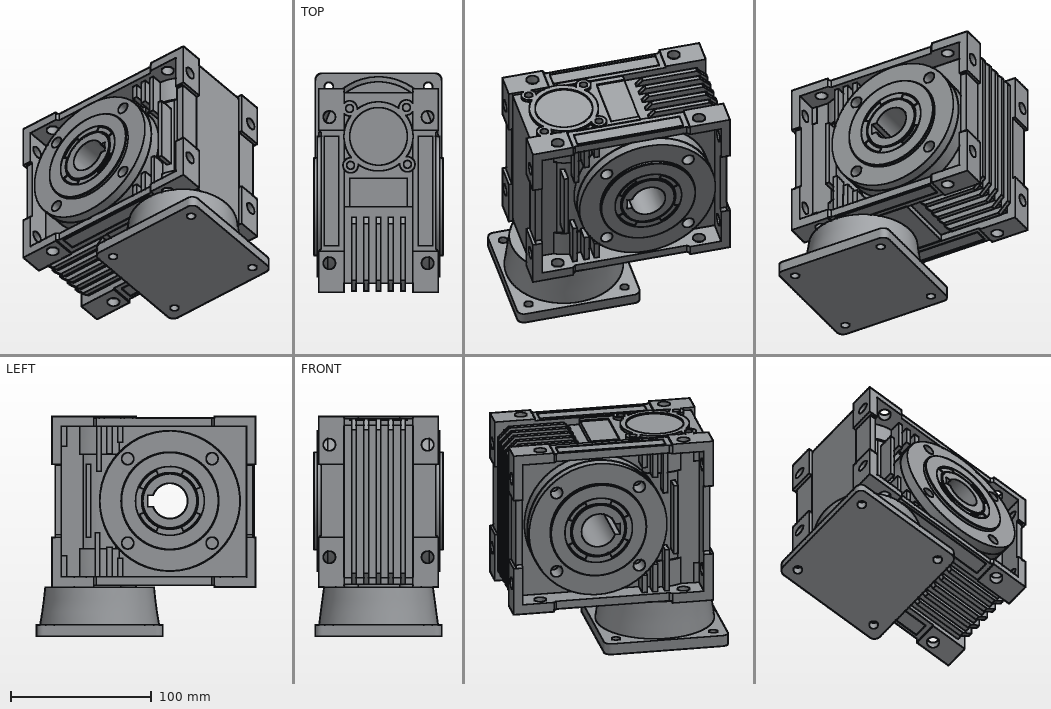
import cadquery as cq
import math


HALF_WIDTH = 42.5
FRONT_Y = -61.0
BACK_Y = 84.0
TOP_Z = 60.2
BOTTOM_Z = -61.3
MID_Z = (TOP_Z + BOTTOM_Z) / 2
HALF_HEIGHT = (TOP_Z - BOTTOM_Z) / 2

BODY_HALF_WIDTH = 24.4
BODY_BACK_Y = 81.2
BODY_FRONT_Y = -54.6
BODY_DROP = 1.9
FIN_RISE = 4.6
BODY_HALF_HEIGHT = HALF_HEIGHT - BODY_DROP
LOW_BODY_HALF_HEIGHT = BODY_HALF_HEIGHT - FIN_RISE

FIN_COUNT = 5
FIN_PITCH = 8.75
FIN_THICKNESS = 3.3
FIN_FRONT_Y = -60.0
FIN_BACK_Y = -7.6
FIN_FRONT_CHAMFER = 7.8

RAIL_OUTER_X = 40.6
RAIL_DROP = 1.2
RAIL_HALF_HEIGHT = HALF_HEIGHT - RAIL_DROP
RAIL_FRONT_Y = -59.0
RAIL_BACK_Y = 81.7
PAD_BACK_END_Y = 54.3
PAD_FRONT_END_Y = -31.6
PAD_END_Z = 26.0
RELIEF_TOP_Z = 27.3
POCKET_FLOOR_X = 24.7
POCKET_BACK_Y = 77.1
POCKET_FRONT_Y = -54.4
POCKET_HALF_HEIGHT = 53.5
RAIL_PANEL_X = (28.3, 38.5)
RAIL_PANEL_Y = (-27.7, 50.2)
RAIL_PANEL_DEPTH = 0.5

FOOT_HOLE_DIAMETER = 8.7
FOOT_HOLE_X = 34.9
FOOT_HOLE_Y = (-40.2, 63.8)
FOOT_HOLE_Z = (-40.0, 40.0)

WORM_Y = 50.0
COVER_RING_RADIUS = 24.6
COVER_RADIUS = 20.5
COVER_DEPTH = 1.0
EAR_CIRCLE_RADIUS = 28.6
EAR_RADIUS = 5.4
EAR_HOLE_DIAMETER = 5.5
EAR_HOLE_DEPTH = 10.0
EAR_START_ANGLE = 46.0
NAME_PLATE_HALF_WIDTH = 20.4
NAME_PLATE_BACK_Y = 20.4
NAME_PLATE_DEPTH = 1.0
BULGE_RADIUS = 27.3
BULGE_END_RADIUS = 28.4
BULGE_HALF_LENGTH = 33.6

RIB_OUTER_X = 36.6
THIN_RIB = 3.1
THICK_RIB = 3.7
RIBS = [
    (56.4, THIN_RIB, -PAD_END_Z, PAD_END_Z),
    (48.8, THIN_RIB, 21.0, 53.0),
    (41.1, THICK_RIB, 33.6, 53.0),
    (33.5, THICK_RIB, 41.6, 53.0),
    (50.0, THIN_RIB, -54.3, -22.6),
    (41.1, THICK_RIB, -54.3, -33.1),
    (33.5, THICK_RIB, -54.3, -40.8),
]
CORNER_STRIP_WIDTH = 3.7
CORNER_STRIP_END_Z = 39.0
CORNER_STRIP_HEIGHT = 0.3

HUB_RADIUS = 49.7
HUB_OUTER_X = 36.0
DISC_RADIUS = 50.0
DISC_OUTER_X = 43.6
SPIGOT_RADIUS = 34.8
SPIGOT_OUTER_X = 46.0
SPIGOT_CHAMFER = 0.4
COVER_BOLT_DIAMETER = 8.5
COVER_BOLT_OFFSET = 30.0
COVER_BOLT_DEPTH = 14.0
SEAL_RADIUS = 24.5
SEAL_NOTCH_RADIUS = 23.7
SEAL_NOTCH_ANGLE = 42.0
SEAL_NOTCH_DEPTH = 0.6
SEAL_DEPTH = 0.2
SHAFT_GROOVE_RADIUS = 20.2
SHAFT_RADIUS = 19.2
SHAFT_GROOVE_DEPTH = 1.5
BORE_DIAMETER = 25.0
KEYWAY_WIDTH = 8.0
KEYWAY_REACH = 15.7

FLANGE_SIZE = 90.0
FLANGE_CORNER_RADIUS = 5.0
FLANGE_BOTTOM_Z = -96.3
FLANGE_THICKNESS = 8.2
FLANGE_HOLE_DIAMETER = 6.2
FLANGE_HOLE_OFFSET = 35.3
NECK_TOP_RADIUS = 38.8
NECK_BOTTOM_RADIUS = 42.4


def block(x_range, y_range, z_range):
    """Box between the given limits along X, Y and Z."""
    return (
        cq.Workplane("XY", origin=(0, 0, z_range[0]))
        .moveTo(x_range[0], y_range[0])
        .lineTo(x_range[1], y_range[0])
        .lineTo(x_range[1], y_range[1])
        .lineTo(x_range[0], y_range[1])
        .close()
        .extrude(z_range[1] - z_range[0])
    )


def centred(half):
    """Limits at equal distances from zero."""
    return (-half, half)


def about_mid(half):
    """Z limits at equal distances from the casting's mid height."""
    return (MID_Z - half, MID_Z + half)


def x_cylinder(radius, x_start, x_end):
    """Cylinder around the output axis."""
    return cq.Workplane("YZ", origin=(x_start, 0, 0)).circle(radius).extrude(x_end - x_start)


def both_ends(upper):
    """An upper feature together with its mirror image at the bottom."""
    return upper.union(upper.mirror("XY", (0, 0, MID_Z)))


def make_body():
    x_range = centred(BODY_HALF_WIDTH)
    rear = block(x_range, (0, BODY_BACK_Y), about_mid(BODY_HALF_HEIGHT))
    front = block(x_range, (BODY_FRONT_Y, 0), about_mid(LOW_BODY_HALF_HEIGHT))
    return rear.union(front)


def make_fins():
    """Vertical fins wrapping over the top, front and bottom of the body."""
    top = MID_Z + BODY_HALF_HEIGHT
    outline = [
        (FIN_BACK_Y, MID_Z),
        (FIN_BACK_Y, top - FIN_RISE),
        (FIN_BACK_Y - FIN_RISE, top),
        (FIN_FRONT_Y + FIN_FRONT_CHAMFER, top),
        (FIN_FRONT_Y, top - FIN_FRONT_CHAMFER),
        (FIN_FRONT_Y, MID_Z),
    ]
    fins = cq.Workplane("XY")
    for index in range(FIN_COUNT):
        x_start = (index - (FIN_COUNT - 1) / 2) * FIN_PITCH - FIN_THICKNESS / 2
        fin = cq.Workplane("YZ", origin=(x_start, 0, 0)).polyline(outline).close().extrude(FIN_THICKNESS)
        fins = fins.union(fin)
    return both_ends(fins)


def rail_relief(plane, near_end, far_end, length):
    """Flat recess in the outer rail face with 45 degree ramps at both ends."""
    depth = HALF_WIDTH - RAIL_OUTER_X
    return (
        cq.Workplane(plane)
        .polyline([
            (HALF_WIDTH, near_end),
            (RAIL_OUTER_X, near_end + depth),
            (RAIL_OUTER_X, far_end - depth),
            (HALF_WIDTH, far_end),
        ])
        .close()
        .extrude(length, both=True)
    )


def make_frame():
    """Side frame on +X: rails, corner pads, pocket and foot holes."""
    x_range = (BODY_HALF_WIDTH, HALF_WIDTH)
    frame = block(x_range, (RAIL_FRONT_Y, RAIL_BACK_Y), about_mid(RAIL_HALF_HEIGHT))
    beyond = BACK_Y - FRONT_Y
    frame = frame.cut(rail_relief("XY", PAD_FRONT_END_Y, PAD_BACK_END_Y, beyond))
    frame = frame.cut(rail_relief("XZ", -PAD_END_Z, RELIEF_TOP_Z, beyond))
    for y_range in ((FRONT_Y, PAD_FRONT_END_Y), (PAD_BACK_END_Y, BACK_Y)):
        for z_range in ((BOTTOM_Z, -PAD_END_Z), (PAD_END_Z, TOP_Z)):
            frame = frame.union(block(x_range, y_range, z_range))
    pocket = block(
        (POCKET_FLOOR_X, HALF_WIDTH), (POCKET_FRONT_Y, POCKET_BACK_Y), about_mid(POCKET_HALF_HEIGHT)
    )
    frame = frame.cut(pocket)
    rail_top = MID_Z + RAIL_HALF_HEIGHT
    panel = block(RAIL_PANEL_X, RAIL_PANEL_Y, (rail_top - RAIL_PANEL_DEPTH, rail_top))
    frame = frame.cut(both_ends(panel))
    vertical = (
        cq.Workplane("XY")
        .pushPoints([(FOOT_HOLE_X, y) for y in FOOT_HOLE_Y])
        .circle(FOOT_HOLE_DIAMETER / 2)
        .extrude(beyond, both=True)
    )
    horizontal = (
        cq.Workplane("XZ")
        .pushPoints([(FOOT_HOLE_X, z) for z in FOOT_HOLE_Z])
        .circle(FOOT_HOLE_DIAMETER / 2)
        .extrude(beyond, both=True)
    )
    return frame.cut(vertical).cut(horizontal)


def worm_cylinder(radius, z_range):
    """Cylinder around the worm axis."""
    return (
        cq.Workplane("XY", origin=(0, WORM_Y, z_range[0])).circle(radius).extrude(z_range[1] - z_range[0])
    )


def make_pocket_details():
    """Worm bulge, ribs and corner strips on the floor of the +X pocket."""
    z_range = about_mid(POCKET_HALF_HEIGHT)
    bulge = worm_cylinder(BULGE_END_RADIUS, z_range)
    bulge = bulge.cut(worm_cylinder(BULGE_END_RADIUS, about_mid(BULGE_HALF_LENGTH)))
    bulge = bulge.union(worm_cylinder(BULGE_RADIUS, about_mid(BULGE_HALF_LENGTH)))
    pocket_space = block((BODY_HALF_WIDTH, HALF_WIDTH), (POCKET_FRONT_Y, POCKET_BACK_Y), z_range)
    details = bulge.intersect(pocket_space)
    for front_y, thickness, lower_z, upper_z in RIBS:
        rib = block((BODY_HALF_WIDTH, RIB_OUTER_X), (front_y, front_y + thickness), (lower_z, upper_z))
        details = details.union(rib)
    for strip_z in ((z_range[0], -CORNER_STRIP_END_Z), (CORNER_STRIP_END_Z, z_range[1])):
        strip = block(
            (BODY_HALF_WIDTH, POCKET_FLOOR_X + CORNER_STRIP_HEIGHT),
            (POCKET_BACK_Y - CORNER_STRIP_WIDTH, POCKET_BACK_Y),
            strip_z,
        )
        details = details.union(strip)
    return details


def seal_notches():
    """Four shallow arc-shaped recesses around the shaft seal."""
    start_x = SPIGOT_OUTER_X - SEAL_DEPTH - SEAL_NOTCH_DEPTH
    ring = x_cylinder(SEAL_NOTCH_RADIUS, start_x, SPIGOT_OUTER_X)
    ring = ring.cut(x_cylinder(SHAFT_GROOVE_RADIUS, start_x, SPIGOT_OUTER_X))
    reach = 2 * SEAL_NOTCH_RADIUS
    half_spread = reach * math.tan(math.radians(SEAL_NOTCH_ANGLE / 2))
    wedge = (
        cq.Workplane("YZ", origin=(start_x, 0, 0))
        .polyline([(0, 0), (reach, -half_spread), (reach, half_spread)])
        .close()
        .extrude(SPIGOT_OUTER_X - start_x)
    )
    notches = cq.Workplane("XY")
    for quarter in range(4):
        turned = wedge.rotate((0, 0, 0), (1, 0, 0), 45 + 90 * quarter)
        notches = notches.union(ring.intersect(turned))
    return notches


def make_output_cover():
    """Hub, flanged disc and spigot on the +X side, with the shaft end."""
    cover = x_cylinder(HUB_RADIUS, BODY_HALF_WIDTH, HUB_OUTER_X)
    cover = cover.union(x_cylinder(DISC_RADIUS, HUB_OUTER_X, DISC_OUTER_X))
    spigot = x_cylinder(SPIGOT_RADIUS, DISC_OUTER_X, SPIGOT_OUTER_X).faces(">X").chamfer(SPIGOT_CHAMFER)
    cover = cover.union(spigot)
    seal_face = x_cylinder(SEAL_RADIUS, SPIGOT_OUTER_X - SEAL_DEPTH, SPIGOT_OUTER_X)
    groove = x_cylinder(SHAFT_GROOVE_RADIUS, SPIGOT_OUTER_X - SHAFT_GROOVE_DEPTH, SPIGOT_OUTER_X)
    shaft_end = x_cylinder(SHAFT_RADIUS, BODY_HALF_WIDTH, SPIGOT_OUTER_X)
    cover = cover.cut(seal_face).cut(seal_notches()).cut(groove).union(shaft_end)
    bolt_holes = (
        cq.Workplane("YZ", origin=(DISC_OUTER_X - COVER_BOLT_DEPTH, 0, 0))
        .rect(2 * COVER_BOLT_OFFSET, 2 * COVER_BOLT_OFFSET, forConstruction=True)
        .vertices()
        .circle(COVER_BOLT_DIAMETER / 2)
        .extrude(COVER_BOLT_DEPTH)
    )
    return cover.cut(bolt_holes)


def ear_points():
    angles = [math.radians(EAR_START_ANGLE + 90 * quarter) for quarter in range(4)]
    return [(EAR_CIRCLE_RADIUS * math.cos(a), EAR_CIRCLE_RADIUS * math.sin(a)) for a in angles]


def make_cover_ring():
    """Raised ring with four screw ears around the worm axis, on top of the body."""
    height = HALF_HEIGHT - BODY_HALF_HEIGHT
    base = cq.Workplane("XY", origin=(0, WORM_Y, TOP_Z - height))
    ring = base.circle(COVER_RING_RADIUS).extrude(height)
    return ring.union(base.pushPoints(ear_points()).circle(EAR_RADIUS).extrude(height))


def make_top_cuts():
    """Sunk bearing cover, ear screw holes and name plate recess."""
    cover = worm_cylinder(COVER_RADIUS, (TOP_Z - COVER_DEPTH, TOP_Z))
    screws = (
        cq.Workplane("XY", origin=(0, WORM_Y, TOP_Z - EAR_HOLE_DEPTH))
        .pushPoints(ear_points())
        .circle(EAR_HOLE_DIAMETER / 2)
        .extrude(EAR_HOLE_DEPTH)
    )
    body_top = MID_Z + BODY_HALF_HEIGHT
    plate = block(
        centred(NAME_PLATE_HALF_WIDTH), (0, NAME_PLATE_BACK_Y), (body_top - NAME_PLATE_DEPTH, body_top)
    )
    return cover.union(screws).union(plate)


def make_motor_flange():
    flange_top = FLANGE_BOTTOM_Z + FLANGE_THICKNESS
    plate = (
        cq.Workplane("XY", origin=(0, WORM_Y, FLANGE_BOTTOM_Z))
        .rect(FLANGE_SIZE, FLANGE_SIZE)
        .extrude(FLANGE_THICKNESS)
        .edges("|Z")
        .fillet(FLANGE_CORNER_RADIUS)
        .faces(">Z")
        .workplane(origin=(0, WORM_Y, flange_top))
        .rect(2 * FLANGE_HOLE_OFFSET, 2 * FLANGE_HOLE_OFFSET, forConstruction=True)
        .vertices()
        .hole(FLANGE_HOLE_DIAMETER)
    )
    neck = (
        cq.Workplane("XZ")
        .polyline([
            (0, flange_top),
            (NECK_BOTTOM_RADIUS, flange_top),
            (NECK_TOP_RADIUS, BOTTOM_Z),
            (0, BOTTOM_Z),
        ])
        .close()
        .revolve(360, (0, 0, 0), (0, 1, 0))
        .translate((0, WORM_Y, 0))
    )
    return plate.union(neck)


def make_bore():
    """Through bore with a keyway on the +Y side."""
    bore = x_cylinder(BORE_DIAMETER / 2, -SPIGOT_OUTER_X, SPIGOT_OUTER_X)
    keyway = block(centred(SPIGOT_OUTER_X), (0, KEYWAY_REACH), centred(KEYWAY_WIDTH / 2))
    return bore.union(keyway)


side = make_frame().union(make_pocket_details()).union(make_output_cover())
result = (
    make_body()
    .union(make_fins())
    .union(side)
    .union(side.mirror("YZ"))
    .union(both_ends(make_cover_ring()))
    .cut(make_top_cuts())
    .union(make_motor_flange())
    .cut(make_bore())
)